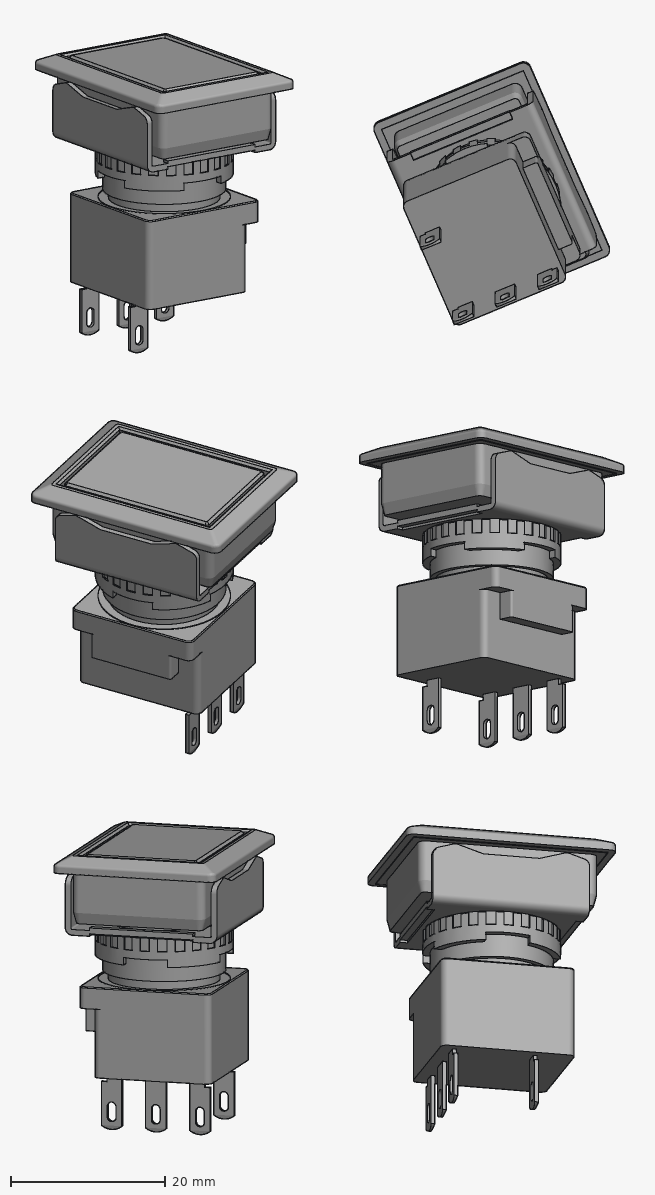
import cadquery as cq
import math


BEZEL_X = 28.0
BEZEL_Y = 22.0
BEZEL_THICKNESS = 2.03
BEZEL_SLOPE_WIDTH = 2.1
BEZEL_SLOPE_HEIGHT = 1.05
CORNER_RADIUS = 1.0
BEZEL_EDGE_RADIUS = 0.4
GASKET_BOTTOM = 2.15
GASKET_INSET = 1.0

FRAME_WIDTH = 0.5
FRAME_CHAMFER = 0.3
GROOVE_WIDTH = 0.37
GROOVE_DEPTH = 1.0
PANEL_CHAMFER = 0.35

BOX_X = 23.9
BOX_Y = 17.95
BOX_TAPER_START = 7.53
BOX_BOTTOM = 9.0
BOX_TAPER_INSET = 0.4
BARREL_DIAMETER = 16.0
BARREL_BOTTOM = 16.8
NECK_DIAMETER = 14.55

CLIP_X = 20.95
CLIP_Y = 20.55
CLIP_TOP = 2.62
CLIP_BOTTOM = 10.8
CLIP_SHEET = 0.77
CLIP_BEND_RADIUS = 1.0
CLIP_PEAK_X = 7.45
CLIP_VALLEY_X = 3.75
CLIP_VALLEY_DROP = 1.1
LIP_WIDTH = 14.0
LIP_LENGTH = 1.0
LIP_RISE = 0.35

NUT_DIAMETER = 17.95
NUT_LIP_HEIGHT = 0.15
NUT_KNURL_BOTTOM = 12.7
NUT_NOTCH_TOP = 13.75
NUT_BOTTOM = 14.75
NUT_NOTCH_WIDTH = 5.9
KNURL_COUNT = 24
KNURL_WIDTH = 1.25
KNURL_DEPTH = 0.22

BLOCK_SIDE = 17.85
BLOCK_TOP = 17.85
BLOCK_BOTTOM = 29.8
BLOCK_CORNER_RADIUS = 0.85
BLOCK_TOP_CHAMFER = 0.15
SEAT_DIAMETER = 17.2
SEAT_DEPTH = 0.1
STEP_DEPTH = 2.03
STEP_TOP = 20.75
LATCH_WIDTH = 11.8
LATCH_BOTTOM = 24.28
LATCH_EDGE_RADIUS = 0.3

TERMINAL_TIP = 36.9
TERMINAL_WIDTH = 2.75
TERMINAL_SHEET = 0.5
TERMINAL_TIP_RISE = 0.5
TERMINAL_TIP_BEVEL = 0.1
TERMINAL_NECK_LENGTH = 0.77
TERMINAL_NECK_CUT = 0.75
SLOT_WIDTH = 1.18
SLOT_LENGTH = 2.6
SLOT_CENTER = 34.55
TERMINAL_PITCH = 5.98
TERMINAL_MIDDLE_Y = -1.0
CONTACT_X = -6.95
LAMP_X = 3.87


def slab(size_x, size_y, top, bottom):
    """Rectangular block centred on the Z axis, between two depths."""
    height = bottom - top
    return cq.Workplane("XY").workplane(offset=-bottom).box(size_x, size_y, height, (True, True, False))


def cylinder(diameter, top, bottom):
    """Cylinder on the Z axis, between two depths."""
    return cq.Workplane("XY").workplane(offset=-bottom).circle(diameter / 2).extrude(bottom - top)


def make_bezel():
    slope_ratio = BEZEL_SLOPE_WIDTH / BEZEL_SLOPE_HEIGHT
    overhang = slope_ratio * BEZEL_THICKNESS - BEZEL_SLOPE_WIDTH
    prism = slab(BEZEL_X, BEZEL_Y, 0, BEZEL_THICKNESS).edges("|Z").fillet(CORNER_RADIUS)
    pyramid = (
        cq.Workplane("XY")
        .workplane(offset=-BEZEL_THICKNESS)
        .rect(BEZEL_X + 2 * overhang, BEZEL_Y + 2 * overhang)
        .extrude(BEZEL_THICKNESS, taper=math.degrees(math.atan(slope_ratio)))
        .edges("not(#Z)")
        .fillet(CORNER_RADIUS)
    )
    bezel = prism.intersect(pyramid)
    rim = bezel.faces("#Z").edges("#Z").edges("not(<Z)")
    return rim.fillet(BEZEL_EDGE_RADIUS)


def make_groove():
    outer_inset = BEZEL_SLOPE_WIDTH + FRAME_WIDTH
    wall_inset = outer_inset + FRAME_CHAMFER
    panel_inset = wall_inset + GROOVE_WIDTH
    groove = slab(BEZEL_X - 2 * wall_inset, BEZEL_Y - 2 * wall_inset, 0, GROOVE_DEPTH)
    flare = (
        cq.Workplane("XY")
        .rect(BEZEL_X - 2 * outer_inset, BEZEL_Y - 2 * outer_inset)
        .extrude(-FRAME_CHAMFER, taper=45)
    )
    panel = slab(BEZEL_X - 2 * panel_inset, BEZEL_Y - 2 * panel_inset, 0, GROOVE_DEPTH)
    panel = panel.edges("|Z").chamfer(PANEL_CHAMFER).faces(">Z").chamfer(PANEL_CHAMFER)
    return groove.union(flare).cut(panel)


def make_housing():
    box = slab(BOX_X, BOX_Y, BEZEL_THICKNESS, BOX_TAPER_START).edges("|Z").fillet(CORNER_RADIUS)
    taper_angle = math.degrees(math.atan2(BOX_TAPER_INSET, BOX_BOTTOM - BOX_TAPER_START))
    tapered_end = (
        cq.Workplane("XY")
        .workplane(offset=-BOX_TAPER_START)
        .sketch()
        .rect(BOX_X, BOX_Y)
        .vertices()
        .fillet(CORNER_RADIUS)
        .finalize()
        .extrude(BOX_TAPER_START - BOX_BOTTOM, taper=taper_angle)
    )

    barrel = cylinder(BARREL_DIAMETER, BOX_BOTTOM, BARREL_BOTTOM)
    neck = cylinder(NECK_DIAMETER, BARREL_BOTTOM, BLOCK_TOP + SEAT_DEPTH)
    gasket_x = BEZEL_X - 2 * GASKET_INSET
    gasket_y = BEZEL_Y - 2 * GASKET_INSET
    gasket = slab(gasket_x, gasket_y, BEZEL_THICKNESS, GASKET_BOTTOM)
    housing = make_bezel().cut(make_groove())
    return housing.union(gasket).union(box).union(tapered_end).union(barrel).union(neck)


def make_clip():
    inner_y = CLIP_Y - 2 * CLIP_SHEET
    clip = slab(CLIP_X, CLIP_Y, CLIP_TOP, CLIP_BOTTOM)
    clip = clip.edges("|X and <Z").fillet(CLIP_BEND_RADIUS)
    inside = slab(CLIP_X, inner_y, CLIP_TOP, CLIP_BOTTOM - CLIP_SHEET)
    inside = inside.edges("|X and <Z").fillet(CLIP_BEND_RADIUS - CLIP_SHEET)
    clip = clip.cut(inside)

    side_x = CLIP_X / 2
    gradient = CLIP_VALLEY_DROP / (CLIP_PEAK_X - CLIP_VALLEY_X)
    valley_z = -CLIP_TOP - CLIP_VALLEY_DROP
    side_z = -CLIP_TOP - gradient * (side_x - CLIP_PEAK_X)
    outline = [
        (-side_x, -CLIP_BOTTOM),
        (-side_x, side_z),
        (-CLIP_PEAK_X, -CLIP_TOP),
        (-CLIP_VALLEY_X, valley_z),
        (CLIP_VALLEY_X, valley_z),
        (CLIP_PEAK_X, -CLIP_TOP),
        (side_x, side_z),
        (side_x, -CLIP_BOTTOM),
    ]
    leg_shape = cq.Workplane("XZ").polyline(outline).close().extrude(CLIP_Y / 2, both=True)
    top_corners = leg_shape.edges("|Y and (<X or >X)").edges(">Z")
    leg_shape = top_corners.fillet(CLIP_BEND_RADIUS)
    clip = clip.intersect(leg_shape)

    for side in (-1, 1):
        lip_x = side * (CLIP_X - LIP_LENGTH) / 2
        relief = slab(LIP_LENGTH, LIP_WIDTH, CLIP_BOTTOM - LIP_RISE, CLIP_BOTTOM)
        lip_top = CLIP_BOTTOM - CLIP_SHEET - LIP_RISE
        lip = slab(LIP_LENGTH, LIP_WIDTH, lip_top, CLIP_BOTTOM - LIP_RISE)
        clip = clip.cut(relief.translate((lip_x, 0, 0))).union(lip.translate((lip_x, 0, 0)))

    return clip.cut(cylinder(BARREL_DIAMETER, CLIP_TOP, CLIP_BOTTOM))


def make_nut():
    radius = NUT_DIAMETER / 2
    slot_floor_diameter = NUT_DIAMETER - 2 * KNURL_DEPTH
    knurl_top = CLIP_BOTTOM + NUT_LIP_HEIGHT
    nut = cylinder(NUT_DIAMETER, knurl_top, NUT_BOTTOM)

    slot_ring = cylinder(NUT_DIAMETER, knurl_top, NUT_KNURL_BOTTOM)
    slot_ring = slot_ring.cut(cylinder(slot_floor_diameter, knurl_top, NUT_KNURL_BOTTOM))
    sector = slab(radius, KNURL_WIDTH, knurl_top, NUT_KNURL_BOTTOM).translate((radius, 0, 0))
    slot = slot_ring.intersect(sector)
    for index in range(KNURL_COUNT):
        angle = index * 360 / KNURL_COUNT
        nut = nut.cut(slot.rotate((0, 0, 0), (0, 0, 1), angle))

    nut = nut.union(cylinder(slot_floor_diameter, CLIP_BOTTOM, knurl_top))

    notch_x = slab(NUT_DIAMETER, NUT_NOTCH_WIDTH, NUT_NOTCH_TOP, NUT_BOTTOM)
    notch_y = slab(NUT_NOTCH_WIDTH, NUT_DIAMETER, NUT_NOTCH_TOP, NUT_BOTTOM)
    nut = nut.cut(notch_x).cut(notch_y)

    return nut.cut(cylinder(BARREL_DIAMETER, CLIP_BOTTOM, NUT_BOTTOM))


def make_terminal(cut_side):
    """Flat terminal centred on the Z axis; its neck is cut away on the cut_side of Y, 0 for no cut."""
    half = TERMINAL_WIDTH / 2
    shoulder_z = TERMINAL_TIP_RISE - TERMINAL_TIP
    terminal = (
        cq.Workplane("YZ")
        .moveTo(-half, -BLOCK_BOTTOM)
        .lineTo(-half, shoulder_z)
        .threePointArc((0, -TERMINAL_TIP), (half, shoulder_z))
        .lineTo(half, -BLOCK_BOTTOM)
        .close()
        .extrude(TERMINAL_SHEET / 2, both=True)
    )
    slot = (
        cq.Workplane("YZ")
        .center(0, -SLOT_CENTER)
        .slot2D(SLOT_LENGTH, SLOT_WIDTH, 90)
        .extrude(TERMINAL_SHEET, both=True)
    )
    terminal = terminal.cut(slot)

    sheet_half = TERMINAL_SHEET / 2
    edge_outline = [
        (-sheet_half, -BLOCK_BOTTOM),
        (-sheet_half, shoulder_z),
        (TERMINAL_TIP_BEVEL - sheet_half, -TERMINAL_TIP),
        (sheet_half - TERMINAL_TIP_BEVEL, -TERMINAL_TIP),
        (sheet_half, shoulder_z),
        (sheet_half, -BLOCK_BOTTOM),
    ]
    edge_shape = cq.Workplane("XZ").polyline(edge_outline).close().extrude(half, both=True)
    terminal = terminal.intersect(edge_shape)

    if cut_side:
        neck_cut = slab(
            TERMINAL_SHEET, TERMINAL_NECK_CUT, BLOCK_BOTTOM, BLOCK_BOTTOM + TERMINAL_NECK_LENGTH
        )
        cut_y = cut_side * (half - TERMINAL_NECK_CUT / 2)
        terminal = terminal.cut(neck_cut.translate((0, cut_y, 0)))
    return terminal


def make_block():
    half = BLOCK_SIDE / 2
    head = slab(BLOCK_SIDE, BLOCK_SIDE, BLOCK_TOP, STEP_TOP)
    head = head.edges("|Z").fillet(BLOCK_CORNER_RADIUS).faces(">Z").chamfer(BLOCK_TOP_CHAMFER)
    base = slab(BLOCK_SIDE, BLOCK_SIDE - STEP_DEPTH, STEP_TOP, BLOCK_BOTTOM)
    base = base.edges("|Z").fillet(BLOCK_CORNER_RADIUS).translate((0, -STEP_DEPTH / 2, 0))

    latch = slab(LATCH_WIDTH, STEP_DEPTH, STEP_TOP, LATCH_BOTTOM)
    latch = latch.edges("|Z and >Y").fillet(LATCH_EDGE_RADIUS)
    latch = latch.translate((0, half - STEP_DEPTH / 2, 0))

    seat = cylinder(SEAT_DIAMETER, BLOCK_TOP, BLOCK_TOP + SEAT_DEPTH)
    block = head.union(base).union(latch).cut(seat)

    terminal_places = ((CONTACT_X, 1), (CONTACT_X, 0), (CONTACT_X, -1), (LAMP_X, -1))
    for x, row in terminal_places:
        y = TERMINAL_MIDDLE_Y + row * TERMINAL_PITCH
        block = block.union(make_terminal(row).translate((x, y, 0)))
    return block


housing = make_housing()
clip = make_clip()
nut = make_nut()
block = make_block()

result = cq.Compound.makeCompound([housing.val(), clip.val(), nut.val(), block.val()])